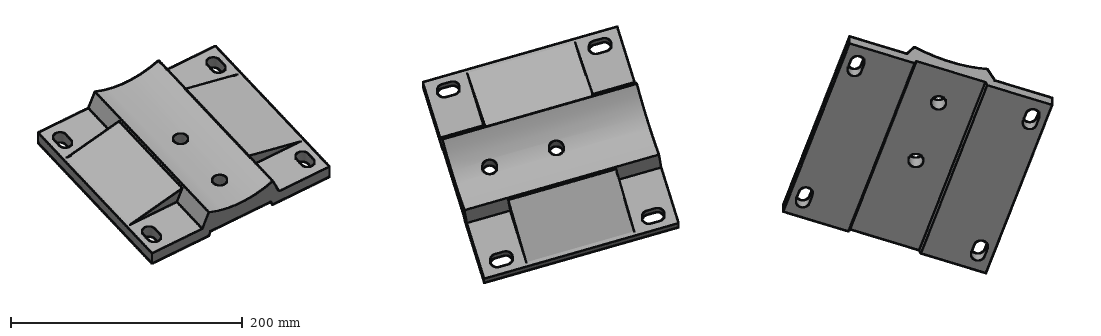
import cadquery as cq

length_x = 175.0
width_y = 185.0
plate_top = 13.0

ridge_top = 29.5
ridge_half_base = 40.1
ridge_half_top = 33.3
trough_bottom = 22.0

recess_depth = 4.6
recess_half_mouth = 33.1
recess_half_roof = 31.5

wedge_length_x = 97.1
wedge_toe_y = 89.0
wedge_head_y = 34.2
wedge_head_z = 26.6

hole_diameter = 13.0
hole_positions = [(-5.0, 0), (55.0, 0)]
slot_length = 20.0
slot_width = 12.0
slot_spacing_x = 136.5
slot_spacing_y = 159.8


def make_body():
    """Plate and ridge as one profile extruded along X."""
    half_width = width_y / 2
    return (
        cq.Workplane("YZ")
        .moveTo(-half_width, 0)
        .lineTo(-half_width, plate_top)
        .lineTo(-ridge_half_base, plate_top)
        .lineTo(-ridge_half_top, ridge_top)
        .threePointArc((0, trough_bottom), (ridge_half_top, ridge_top))
        .lineTo(ridge_half_base, plate_top)
        .lineTo(half_width, plate_top)
        .lineTo(half_width, 0)
        .lineTo(recess_half_mouth, 0)
        .lineTo(recess_half_roof, recess_depth)
        .lineTo(-recess_half_roof, recess_depth)
        .lineTo(-recess_half_mouth, 0)
        .close()
        .extrude(length_x / 2, both=True)
    )


def make_wedge(side):
    """Wedge on the +Y (side = 1) or -Y (side = -1) flank of the ridge."""
    return (
        cq.Workplane("YZ")
        .moveTo(side * wedge_toe_y, plate_top)
        .lineTo(side * wedge_head_y, wedge_head_z)
        .lineTo(side * recess_half_roof, recess_depth)
        .lineTo(side * wedge_toe_y, recess_depth)
        .close()
        .extrude(wedge_length_x / 2, both=True)
    )


def make_holes():
    """Two round holes through the trough."""
    return (
        cq.Workplane("XY")
        .pushPoints(hole_positions)
        .circle(hole_diameter / 2)
        .extrude(ridge_top)
    )


def make_slots():
    """Four mounting slots, one near each corner of the plate."""
    return (
        cq.Workplane("XY")
        .rarray(slot_spacing_x, slot_spacing_y, 2, 2)
        .slot2D(slot_length, slot_width)
        .extrude(plate_top)
    )


result = make_body()
for flank in (-1, 1):
    result = result.union(make_wedge(flank))
result = result.cut(make_holes()).cut(make_slots())